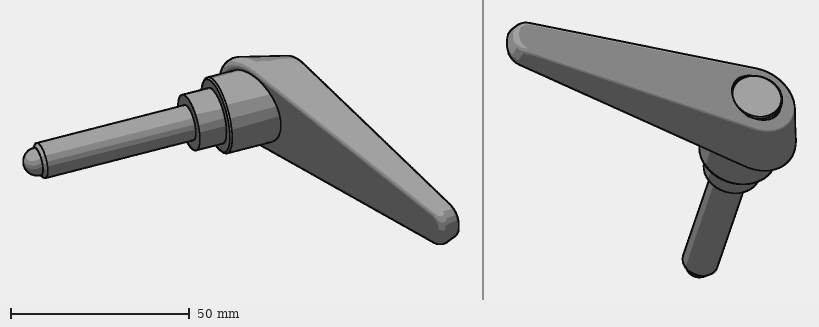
import cadquery as cq
import math


draft_angle = 12.4
head_center_x = -0.4
head_radius = 16.5
tip_half_width = 14.8
tip_station = 68.9
blank_length = 102.0
blank_height = 46.9
lower_slope = 20.1
upper_slope = 13.4
lower_height = 11.2
upper_height = 27.1
tip_end_x = 74.1
tip_end_y = 38.1
tip_slope = 17.0
tip_corner_radius = 5.1
lower_edge_radius = 2.0
upper_edge_radius = 1.3

hub_radius = 11.0
hub_edge_chamfer = 0.5
hub_overlap = 8.2

button_radius = 7.3
button_top = 27.8
button_chamfer = 0.4
collar_radius = 8.1
collar_length = 8.1
shank_radius = 5.1
shank_length = 44.8
shank_chamfer = 1.0
ball_radius = 4.0
stud_tip_y = -57.9


def height_on_slope(axis_height, slope, x):
    return axis_height + x * math.tan(math.radians(slope))


def lever_blank():
    """Drafted solid with a round head and straight, converging flanks."""
    flank_angle = math.asin((head_radius - tip_half_width) / (tip_station - head_center_x))
    tangent_x = head_radius * math.sin(flank_angle)
    tangent_z = head_radius * math.cos(flank_angle)
    end_half_width = tangent_z - (blank_length - tangent_x) * math.tan(flank_angle)
    return (
        cq.Workplane("XZ")
        .center(head_center_x, 0)
        .moveTo(tangent_x, tangent_z)
        .threePointArc((-head_radius, 0), (tangent_x, -tangent_z))
        .lineTo(blank_length, -end_half_width)
        .lineTo(blank_length, end_half_width)
        .close()
        .extrude(-blank_height, taper=draft_angle)
    )


def lever_envelope():
    """Prism bounded by the lower, upper and end faces of the lever."""
    back_x = -2 * head_radius
    tip_lean = math.tan(math.radians(tip_slope))

    def end_point(axis_height, slope):
        rise = math.tan(math.radians(slope))
        x = (tip_end_x + tip_lean * (tip_end_y - axis_height)) / (1 + tip_lean * rise)
        return x, height_on_slope(axis_height, slope, x)

    return (
        cq.Workplane("XY")
        .polyline([
            (back_x, height_on_slope(lower_height, lower_slope, back_x)),
            end_point(lower_height, lower_slope),
            end_point(upper_height, upper_slope),
            (back_x, height_on_slope(upper_height, upper_slope, back_x)),
        ])
        .close()
        .extrude(2 * head_radius, both=True)
    )


def face_normal(slope):
    angle = math.radians(slope)
    return cq.Vector(-math.sin(angle), math.cos(angle), 0)


def make_lever():
    body = lever_blank().intersect(lever_envelope())

    end_face = body.faces(cq.selectors.DirectionMinMaxSelector(cq.Vector(1, 0, 0), True))
    corners = end_face.edges("<Z or >Z")
    body = body.newObject([body.val().fillet(tip_corner_radius, corners.vals())])
    for normal, radius in (
        (face_normal(lower_slope) * -1, lower_edge_radius),
        (face_normal(upper_slope), upper_edge_radius),
    ):
        body = body.faces(cq.selectors.DirectionNthSelector(normal, -1)).edges().fillet(radius)

    hub = (
        cq.Workplane("XZ")
        .circle(hub_radius)
        .extrude(-(lower_height + hub_overlap))
        .faces("<Y")
        .chamfer(hub_edge_chamfer)
    )
    bore = cq.Workplane("XZ").circle(button_radius).extrude(-blank_height)
    return body.union(hub).cut(bore).solids()


def make_stud():
    """Turned stud: button through the lever, collar, shank and ball end."""
    shank_end = -collar_length - shank_length
    neck_end = shank_end - shank_chamfer
    ball_center = stud_tip_y + ball_radius
    ball_start_radius = math.sqrt(ball_radius**2 - (neck_end - ball_center)**2)
    diagonal = ball_radius * math.sqrt(0.5)
    return (
        cq.Workplane("XY")
        .moveTo(0, button_top)
        .lineTo(button_radius - button_chamfer, button_top)
        .lineTo(button_radius, button_top - button_chamfer)
        .lineTo(button_radius, 0)
        .lineTo(collar_radius, 0)
        .lineTo(collar_radius, -collar_length)
        .lineTo(shank_radius, -collar_length)
        .lineTo(shank_radius, shank_end)
        .lineTo(shank_radius - shank_chamfer, neck_end)
        .lineTo(ball_start_radius, neck_end)
        .threePointArc((diagonal, ball_center - diagonal), (0, stud_tip_y))
        .close()
        .revolve(360, (0, 0, 0), (0, 1, 0))
    )


lever = make_lever()
stud = make_stud()
result = cq.Compound.makeCompound([lever.val(), stud.val()])